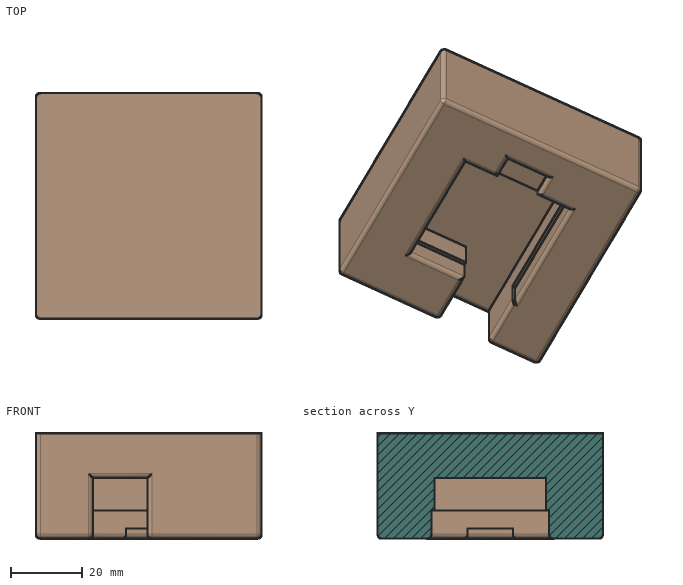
import cadquery as cq

SIDE = 63.5
HEIGHT = 29.72
EDGE_RADIUS = 1.27

POCKET_SIDE = 33.02
POCKET_HEIGHT = 8.0

UPPER_POCKET_SIDE = 31.28
ROOF_THICKNESS = 12.7
UPPER_POCKET_HEIGHT = HEIGHT - ROOF_THICKNESS

PASSAGE_WIDTH = 15.24
PASSAGE_HEIGHT = UPPER_POCKET_HEIGHT
PASSAGE_CENTER_X = (PASSAGE_WIDTH - UPPER_POCKET_SIDE) / 2

RECESS_WIDTH = 12.7
RECESS_HEIGHT = 2.95
RECESS_DEPTH = RECESS_WIDTH / 2

FRONT_Y = -SIDE / 2
POCKET_FRONT_Y = -POCKET_SIDE / 2
POCKET_REAR_Y = POCKET_SIDE / 2
UPPER_POCKET_FRONT_Y = -UPPER_POCKET_SIDE / 2
UPPER_POCKET_REAR_Y = UPPER_POCKET_SIDE / 2


def box_on_base(center_x, width, y_start, y_end, height):
    """Box standing on Z = 0, centred on center_x and spanning y_start to y_end."""
    length = y_end - y_start
    return cq.Workplane("XY").box(width, length, height, centered=(True, False, False)).translate(
        (center_x, y_start, 0)
    )


def block():
    """Solid block with its four upright corners rounded."""
    return box_on_base(0, SIDE, FRONT_Y, -FRONT_Y, HEIGHT).edges("|Z").fillet(EDGE_RADIUS)


def hollow():
    """Space removed from the underside: passage, both pockets and rear recess."""
    passage = box_on_base(PASSAGE_CENTER_X, PASSAGE_WIDTH, FRONT_Y, UPPER_POCKET_FRONT_Y, PASSAGE_HEIGHT)
    pocket = box_on_base(0, POCKET_SIDE, POCKET_FRONT_Y, POCKET_REAR_Y, POCKET_HEIGHT)
    upper_pocket = box_on_base(
        0, UPPER_POCKET_SIDE, UPPER_POCKET_FRONT_Y, UPPER_POCKET_REAR_Y, UPPER_POCKET_HEIGHT
    )
    recess = box_on_base(0, RECESS_WIDTH, POCKET_REAR_Y, POCKET_REAR_Y + RECESS_DEPTH, RECESS_HEIGHT)
    return passage.union(pocket).union(upper_pocket).union(recess)


def passage_mouth_edges(body):
    """The two sides and the top of the passage opening in the front face."""
    margin = EDGE_RADIUS / 2
    mouth = cq.selectors.BoxSelector(
        (PASSAGE_CENTER_X - PASSAGE_WIDTH / 2 - margin, FRONT_Y - margin, margin),
        (PASSAGE_CENTER_X + PASSAGE_WIDTH / 2 + margin, FRONT_Y + margin, PASSAGE_HEIGHT + margin),
    )
    return body.edges(mouth)


def round_edges(body):
    """Round the passage mouth together with every edge of the underside."""
    edges = passage_mouth_edges(body).add(body.faces("<Z").edges())
    return edges.fillet(EDGE_RADIUS)


result = round_edges(block().cut(hollow()))